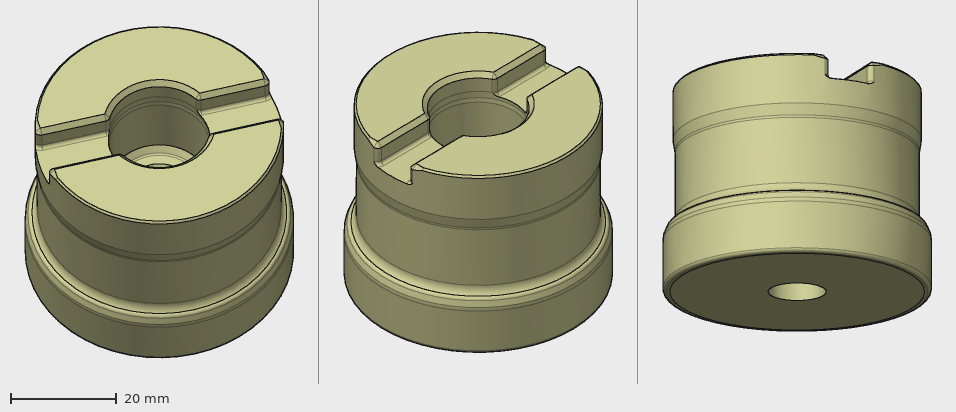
import cadquery as cq
import math

overall_radius = 25.4
overall_height = 40.0

head_radius = 47.0 / 2
head_chamfer = 0.4
head_bottom = 30.05
neck_radius = 46.2 / 2
neck_top = 27.55
neck_top_round = 3.05
neck_bottom = 14.35
neck_fillet_radius = 2.2

shoulder_inner_radius = 24.1
shoulder_outer_radius = 24.85
shoulder_edge_height = 12.0
shoulder_bulge = 0.1
cone_bottom_radius = 25.35
cone_bottom = 10.75
rim_top = 9.95
base_edge_radius = 0.7

seam_radius = shoulder_inner_radius

through_radius = 11.0 / 2
through_chamfer = 0.5
bore_floor = 19.8
bore_floor_radius = 16.0 / 2
bore_cone_end_radius = 16.85 / 2
bore_cone_angle = math.radians(45)
bore_radius = 19.05 / 2
bore_top = 33.5
bore_mouth_radius = 19.25 / 2
bore_mouth_bottom = 34.45

slot_half_width = 4.1
slot_floor = 35.2
slot_depth = overall_height - slot_floor
slot_corner_radius = 1.0
slot_top_chamfer = 0.95
slot_floor_fillet = 0.7
slot_end_plane = math.sqrt(head_radius**2 - (slot_half_width + slot_corner_radius) ** 2)


def revolved(profile):
    return profile.revolve(360, (0, 0, 0), (0, 1, 0))


def round_blank():
    """Solid of revolution that holds the outer surfaces of both bodies."""
    fillet_center_radius = neck_radius + neck_fillet_radius
    fillet_end_angle = math.acos((fillet_center_radius - shoulder_inner_radius) / neck_fillet_radius)
    shoulder_top = neck_bottom - neck_fillet_radius * math.sin(fillet_end_angle)
    fillet_mid = (
        fillet_center_radius - neck_fillet_radius * math.cos(fillet_end_angle / 2),
        neck_bottom - neck_fillet_radius * math.sin(fillet_end_angle / 2),
    )
    shoulder_mid = (
        (shoulder_inner_radius + shoulder_outer_radius) / 2 + shoulder_bulge,
        (shoulder_top + shoulder_edge_height) / 2 + shoulder_bulge,
    )
    blank = revolved(
        cq.Workplane("XZ")
        .moveTo(0, 0)
        .lineTo(overall_radius - base_edge_radius, 0)
        .tangentArcPoint((overall_radius, base_edge_radius), relative=False)
        .lineTo(overall_radius, rim_top)
        .tangentArcPoint((cone_bottom_radius, cone_bottom), relative=False)
        .lineTo(shoulder_outer_radius, shoulder_edge_height)
        .threePointArc(shoulder_mid, (shoulder_inner_radius, shoulder_top))
        .threePointArc(fillet_mid, (neck_radius, neck_bottom))
        .lineTo(neck_radius, neck_top)
        .lineTo(head_radius, head_bottom)
        .lineTo(head_radius, overall_height - head_chamfer)
        .lineTo(head_radius - head_chamfer, overall_height)
        .lineTo(0, overall_height)
        .close()
    )
    margin = 0.05
    neck_top_edge = cq.selectors.BoxSelector(
        (-overall_radius, -overall_radius, neck_top - margin),
        (overall_radius, overall_radius, neck_top + margin),
    )
    return blank.edges(neck_top_edge).edges("%CIRCLE").fillet(neck_top_round)


def seam_cylinder():
    return cq.Workplane("XY").circle(seam_radius).extrude(overall_height)


def bore_cutter():
    """Through hole and stepped bore, whose conical end blends into a flat floor."""
    blend_radius = (bore_cone_end_radius - bore_floor_radius) / math.sin(bore_cone_angle)
    blend_mid = (
        bore_floor_radius + blend_radius * math.sin(bore_cone_angle / 2),
        bore_floor + blend_radius * (1 - math.cos(bore_cone_angle / 2)),
    )
    cone_bottom_height = bore_floor + blend_radius * (1 - math.cos(bore_cone_angle))
    cone_height = (bore_radius - bore_cone_end_radius) * math.tan(bore_cone_angle)
    return revolved(
        cq.Workplane("XZ")
        .moveTo(0, 0)
        .lineTo(through_radius, 0)
        .lineTo(through_radius, bore_floor - through_chamfer)
        .lineTo(through_radius + through_chamfer, bore_floor)
        .lineTo(bore_floor_radius, bore_floor)
        .threePointArc(blend_mid, (bore_cone_end_radius, cone_bottom_height))
        .lineTo(bore_radius, cone_bottom_height + cone_height)
        .lineTo(bore_radius, bore_top)
        .lineTo(bore_mouth_radius, bore_mouth_bottom)
        .lineTo(bore_mouth_radius, overall_height)
        .lineTo(0, overall_height)
        .close()
    )


def slot_prism():
    """Slot, bore mouth and the space past both slot ends, with rounded corners between them."""
    level = cq.Workplane("XY").workplane(offset=slot_floor)
    prism = level.rect(2 * slot_half_width, 2 * overall_radius).extrude(slot_depth)
    prism = prism.union(level.circle(bore_mouth_radius).extrude(slot_depth))
    end_length = overall_radius - slot_end_plane
    for side in (1, -1):
        end_center = side * (slot_end_plane + end_length / 2)
        end = level.center(0, end_center).rect(2 * overall_radius, end_length)
        prism = prism.union(end.extrude(slot_depth))
    inner_corners = cq.selectors.BoxSelector(
        (-overall_radius / 2, -overall_radius, slot_floor),
        (overall_radius / 2, overall_radius, overall_height),
    )
    return prism.edges("|Z").edges(inner_corners).fillet(slot_corner_radius)


def slot_cutter():
    """Slot prism flared at the top, to chamfer the slot rim, and rounded along its floor."""
    level = cq.Workplane("XY").workplane(offset=slot_floor)
    block = level.rect(2 * overall_radius, 2 * overall_radius).extrude(slot_depth)
    lands = block.cut(slot_prism()).faces(">Z").chamfer(slot_top_chamfer)
    return block.cut(lands).faces("<Z").edges().fillet(slot_floor_fillet)


def make_hub():
    """Inner body: head, neck and the core of the base, with the slot and the bore."""
    hub = round_blank().intersect(seam_cylinder())
    return hub.cut(slot_cutter()).cut(bore_cutter())


def make_rim_ring():
    """Outer body: the ring around the base of the hub."""
    return round_blank().cut(seam_cylinder())


hub = make_hub()
rim_ring = make_rim_ring()
result = cq.Compound.makeCompound([hub.solids().val(), rim_ring.solids().val()])